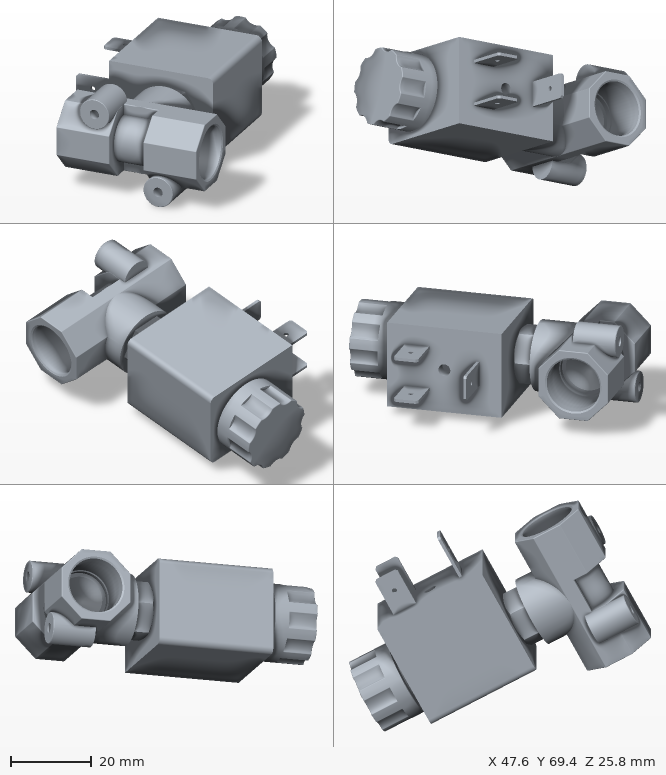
import cadquery as cq
import math


body_sides = 8
body_flats = 17.9
body_half = body_flats / 2
body_length = 37.9
body_edge_fillet = 0.2

notch_width = 9.2
core_radius = 6.1

port_radius = 6.9
port_depth = 11.1
port_chamfer_width = 0.4
port_chamfer_depth = 0.3
seat_radius = 6.5
seat_depth = 12.5
drill_radius = 5.55
drill_point_angle = 120

boss_radius = 3.95
boss_length = 10.9
boss_offset = 8.6
boss_edge_chamfer = 0.15
boss_hole_radius = 1.25
boss_hole_depth = 4.45

base_y = -body_half
collar_top = base_y + 23.1
coil_bottom = base_y + 27.9
coil_top = base_y + 57.4
knob_bottom = base_y + 58.4
flute_bottom = base_y + 62.0
knob_top = base_y + 69.4

nut_flats = 13.0
nut_chamfer_angle = 30

coil_left = -17.05
coil_right = 11.0
coil_height = 22.0
coil_edge_radius = 1.45
screw_hole_radius = 1.5
screw_hole_depth = 3.5

blade_width = 6.3
blade_thickness = 0.75
blade_corner = 0.55
blade_hole_radius = 0.6
blade_hole_inset = 4.6
pair_tip_x = -27.05
pair_y = base_y + 49.7
pair_spacing = 10.9
earth_tip_x = -28.65
earth_y = base_y + 34

knob_radius = 9.7
knob_edge_fillet = 0.2
neck_radius = 6.5
neck_end_radius = 6.2
flute_count = 9
flute_radius = 3.1
flute_half_chord = 2.0
first_flute_angle = 20


def cylinder_y(radius, y_start, y_end, x=0, z=0):
    """Cylinder along +Y between two stations."""
    start = cq.Vector(x, y_start, z)
    return cq.Workplane(cq.Solid.makeCylinder(radius, y_end - y_start, start, cq.Vector(0, 1, 0)))


def distance_from_x_axis(edge):
    center = edge.Center()
    return math.hypot(center.y, center.z)


def make_body():
    half_facet_angle = 360 / body_sides / 2
    corner_diameter = body_flats / math.cos(math.radians(half_facet_angle))
    bar = (
        cq.Workplane("YZ")
        .polygon(body_sides, corner_diameter)
        .extrude(body_length / 2, both=True)
        .rotate((0, 0, 0), (1, 0, 0), half_facet_angle)
    )
    notch = cq.Workplane("XY").box(notch_width, body_half, body_flats).translate((0, -body_half / 2, 0))
    core = cq.Workplane("YZ").circle(core_radius).extrude(notch_width / 2, both=True)
    notched = bar.cut(notch)
    outer_edges = notched.edges().filter(lambda edge: distance_from_x_axis(edge) > core_radius)
    return outer_edges.fillet(body_edge_fillet).union(core)


def make_port():
    """Stepped bore with a conical bottom, entering from the -X end."""
    mouth = -body_length / 2
    point_x = mouth + seat_depth + drill_radius / math.tan(math.radians(drill_point_angle / 2))
    return (
        cq.Workplane("XY")
        .moveTo(mouth, 0)
        .lineTo(mouth, port_radius + port_chamfer_width)
        .lineTo(mouth + port_chamfer_depth, port_radius)
        .lineTo(mouth + port_depth, port_radius)
        .lineTo(mouth + port_depth, seat_radius)
        .lineTo(mouth + seat_depth, seat_radius)
        .lineTo(mouth + seat_depth, drill_radius)
        .lineTo(point_x, 0)
        .close()
        .revolve(360, (0, 0, 0), (1, 0, 0))
    )


def make_boss(x, z):
    boss = cylinder_y(boss_radius, base_y, base_y + boss_length, x, z)
    boss = boss.faces("<Y").chamfer(boss_edge_chamfer)
    return boss.cut(cylinder_y(boss_hole_radius, base_y, base_y + boss_hole_depth, x, z))


def make_nut():
    """Hexagon with two flats facing +Z and -Z, chamfered at the coil end."""
    corner_radius = nut_flats / math.sqrt(3)
    nut_height = coil_bottom - collar_top
    chamfer_width = corner_radius - nut_flats / 2
    chamfer_drop = chamfer_width * math.tan(math.radians(nut_chamfer_angle))
    hexagon = (
        cq.Workplane("XZ", origin=(0, collar_top, 0))
        .polygon(6, 2 * corner_radius)
        .extrude(-nut_height)
    )
    blank = cylinder_y(corner_radius, collar_top, coil_bottom)
    envelope = blank.faces(">Y").chamfer(chamfer_drop, chamfer_width)
    return hexagon.intersect(envelope)


def make_coil():
    coil_length = coil_top - coil_bottom
    coil_mid_y = (coil_top + coil_bottom) / 2
    coil = (
        cq.Workplane("XY")
        .box(coil_right - coil_left, coil_length, coil_height)
        .translate(((coil_left + coil_right) / 2, coil_mid_y, 0))
        .edges("|Y and >X")
        .fillet(coil_edge_radius)
    )
    screw_hole = cq.Workplane("YZ", origin=(coil_left, coil_mid_y, 0)).circle(screw_hole_radius)
    return coil.cut(screw_hole.extrude(screw_hole_depth))


def make_blade(tip_x):
    """Flat blade lying in the XY plane, from its tip to the coil face."""
    length = coil_left - tip_x
    return (
        cq.Workplane("XY")
        .box(length, blade_width, blade_thickness)
        .translate((tip_x + length / 2, 0, 0))
        .edges("|Z and <X")
        .chamfer(blade_corner)
        .cut(
            cq.Workplane("XY")
            .center(tip_x + blade_hole_inset, 0)
            .circle(blade_hole_radius)
            .extrude(blade_thickness, both=True)
        )
    )


def make_knob():
    chord_distance = math.sqrt(knob_radius**2 - flute_half_chord**2)
    flute_center = chord_distance + math.sqrt(flute_radius**2 - flute_half_chord**2)
    grip = cylinder_y(knob_radius, flute_bottom, knob_top)
    flute = cylinder_y(flute_radius, flute_bottom, knob_top, z=flute_center)
    for i in range(flute_count):
        angle = first_flute_angle + i * 360 / flute_count
        grip = grip.cut(flute.rotate((0, 0, 0), (0, 1, 0), angle))
    grip = grip.edges("|Y or >Y").fillet(knob_edge_fillet)
    skirt = cylinder_y(knob_radius, knob_bottom, flute_bottom)
    neck = (
        cq.Workplane("XZ", origin=(0, coil_top, 0))
        .circle(neck_end_radius)
        .workplane(offset=coil_top - knob_bottom)
        .circle(neck_radius)
        .loft()
    )
    return skirt.union(grip).union(neck)


port = make_port()
body = make_body().union(cylinder_y(body_half, 0, collar_top))
for x, z in ((-boss_offset, body_half), (boss_offset, -body_half)):
    body = body.union(make_boss(x, z))
body = body.cut(port).cut(port.mirror("YZ"))

result = body.union(make_nut()).union(make_coil()).union(make_knob())
for z in (-pair_spacing / 2, pair_spacing / 2):
    result = result.union(make_blade(pair_tip_x).translate((0, pair_y, z)))
earth_blade = make_blade(earth_tip_x).rotate((0, 0, 0), (1, 0, 0), 90)
result = result.union(earth_blade.translate((0, earth_y, 0)))